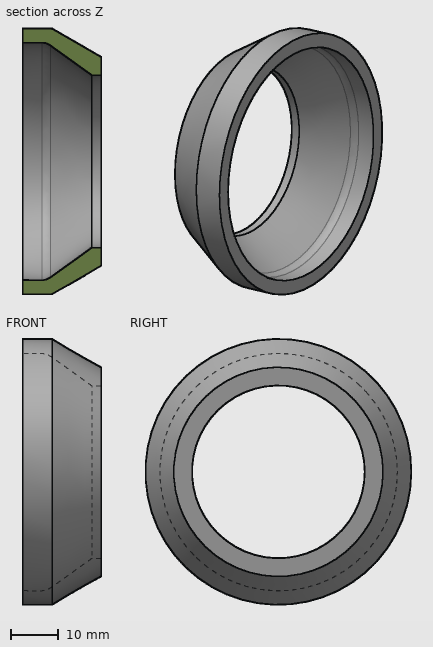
import cadquery as cq

length = 16.5
rim_length = 6.15
rim_radius = 28.0
nose_radius = 22.0

mouth_radius = 24.95
mouth_depth = 5.0
throat_radius = 18.15
throat_length = 2.0
throat_start = length - throat_length
bore_fillet = 3.0

section = (
    cq.Workplane("XY")
    .moveTo(0, mouth_radius)
    .lineTo(0, rim_radius)
    .lineTo(rim_length, rim_radius)
    .lineTo(length, nose_radius)
    .lineTo(length, throat_radius)
    .lineTo(throat_start, throat_radius)
    .lineTo(mouth_depth, mouth_radius)
    .close()
)

ring = section.revolve(360, (0, 0, 0), (1, 0, 0))

edge_tolerance = 0.05
mouth_corner = cq.selectors.BoxSelector(
    (mouth_depth - edge_tolerance, -rim_radius, -rim_radius),
    (mouth_depth + edge_tolerance, rim_radius, rim_radius),
    boundingbox=True,
)
result = ring.edges(mouth_corner).fillet(bore_fillet)